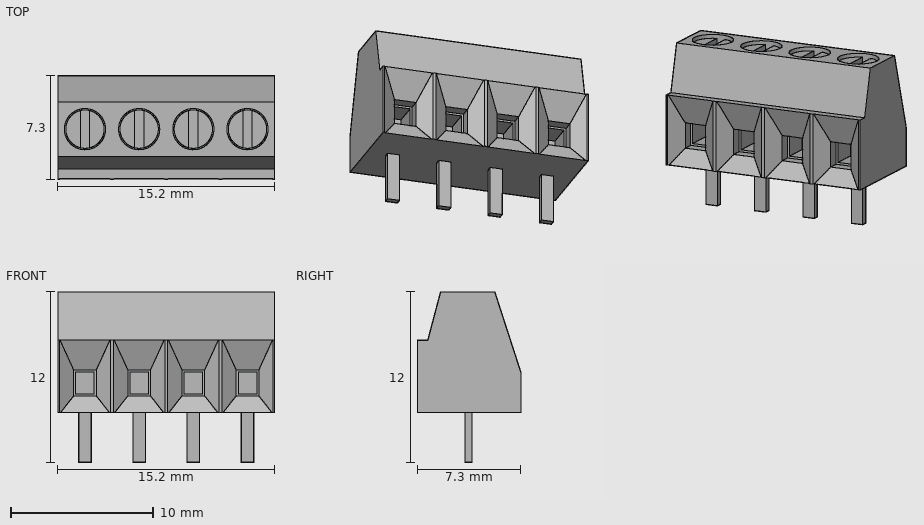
import cadquery as cq


pole_count = 4
pole_pitch = 3.81
body_length = pole_count * pole_pitch

body_depth = 7.3
body_height = 8.5
ledge_depth = 0.73
ledge_height = 5.1
top_front_y = 1.63
top_back_y = 5.45
back_wall_height = 2.8

mouth_width = 3.6
mouth_overrun = 0.1
funnel_depth = 0.8
tunnel_width = 1.6
tunnel_height = 1.84
tunnel_depth = 0.85
tunnel_center_z = 2.09
clamp_rim = 0.15
clamp_depth = 2.0

screw_y = (top_front_y + top_back_y) / 2
screw_hole_diameter = 2.9
screw_diameter = 2.7
screw_recess = 0.25
slot_width = 0.66
slot_depth = 1.0
screw_height = 1.5

pin_width = 0.9
pin_thickness = 0.5
pin_length = 3.5
pin_y = 3.6

pole_positions = [(i - (pole_count - 1) / 2) * pole_pitch for i in range(pole_count)]


def make_body():
    """Housing profile extruded along the row of poles."""
    profile = [
        (0, 0),
        (body_depth, 0),
        (body_depth, back_wall_height),
        (top_back_y, body_height),
        (top_front_y, body_height),
        (ledge_depth, ledge_height),
        (0, ledge_height),
    ]
    return cq.Workplane("YZ").polyline(profile).close().extrude(body_length / 2, both=True)


def make_wire_entry(x):
    """Void of one wire entry, with a mouth that slightly breaks the ledge and the underside."""
    mouth_height = ledge_height + 2 * mouth_overrun
    mouth_center_z = ledge_height / 2
    funnel = (
        cq.Workplane("XZ", origin=(x, 0, 0))
        .center(0, mouth_center_z)
        .rect(mouth_width, mouth_height)
        .workplane(offset=-funnel_depth)
        .center(0, tunnel_center_z - mouth_center_z)
        .rect(tunnel_width, tunnel_height)
        .loft(ruled=True)
    )
    tunnel = (
        cq.Workplane("XZ", origin=(x, funnel_depth, tunnel_center_z))
        .rect(tunnel_width, tunnel_height)
        .extrude(-tunnel_depth)
    )
    clamp_opening = (
        cq.Workplane("XZ", origin=(x, funnel_depth + tunnel_depth, tunnel_center_z))
        .rect(tunnel_width - 2 * clamp_rim, tunnel_height - 2 * clamp_rim)
        .extrude(-clamp_depth)
    )
    return funnel.union(tunnel).union(clamp_opening)


def make_screw_void(x):
    """Screw hole minus the recessed, slotted screw head standing in it."""
    hole_depth = screw_recess + screw_height
    floor = cq.Workplane("XY", origin=(x, screw_y, body_height - hole_depth))
    hole = floor.circle(screw_hole_diameter / 2).extrude(hole_depth)
    head = floor.circle(screw_diameter / 2).extrude(screw_height)
    slot_floor = floor.workplane(offset=screw_height - slot_depth)
    slot = slot_floor.rect(slot_width, screw_hole_diameter).extrude(slot_depth)
    return hole.cut(head.cut(slot))


def make_pin(x):
    """Solder pin hanging from the underside."""
    return cq.Workplane("XY", origin=(x, pin_y, 0)).rect(pin_width, pin_thickness).extrude(-pin_length)


result = make_body()
for pole_x in pole_positions:
    result = result.cut(make_wire_entry(pole_x))
    result = result.cut(make_screw_void(pole_x))
    result = result.union(make_pin(pole_x))